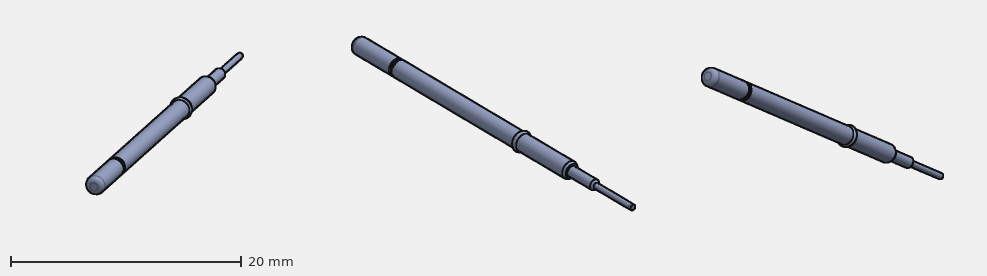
import cadquery as cq
import math


barrel_radius = 0.85
barrel_length = 29.05
tail_fillet = 0.5
mouth_taper = 0.3
mouth_radius = 0.7

groove_start = 5.35
groove_width = 0.37
groove_depth = 0.1
groove_slope = 0.1

ring_radius = 1.0
ring_width = 0.52
ring_position = 22.25

plunger_radius = 0.52
needle_radius = 0.3
shoulder_end = 32.35
shoulder_length = plunger_radius - needle_radius

total_length = 37.3
tip_length = 0.25
tip_radius = 0.28

groove_radius = barrel_radius - groove_depth
groove_end = groove_start + groove_width
ring_start = ring_position - ring_width / 2
ring_end = ring_position + ring_width / 2

fillet_inset = tail_fillet * (1 - math.sqrt(0.5))
tail_arc_middle = (fillet_inset, barrel_radius - fillet_inset)

profile = (
    cq.Workplane("YZ")
    .lineTo(0, barrel_radius - tail_fillet)
    .threePointArc(tail_arc_middle, (tail_fillet, barrel_radius))
    .lineTo(groove_start, barrel_radius)
    .lineTo(groove_start + groove_slope, groove_radius)
    .lineTo(groove_end, groove_radius)
    .lineTo(groove_end, barrel_radius)
    .lineTo(ring_start, barrel_radius)
    .threePointArc((ring_position, ring_radius), (ring_end, barrel_radius))
    .lineTo(barrel_length - mouth_taper, barrel_radius)
    .lineTo(barrel_length, mouth_radius)
    .lineTo(barrel_length, plunger_radius)
    .lineTo(shoulder_end - shoulder_length, plunger_radius)
    .lineTo(shoulder_end, needle_radius)
    .lineTo(total_length - tip_length, needle_radius)
    .lineTo(total_length, tip_radius)
    .lineTo(total_length, 0)
    .close()
)

result = profile.revolve(360, (0, 0, 0), (1, 0, 0))